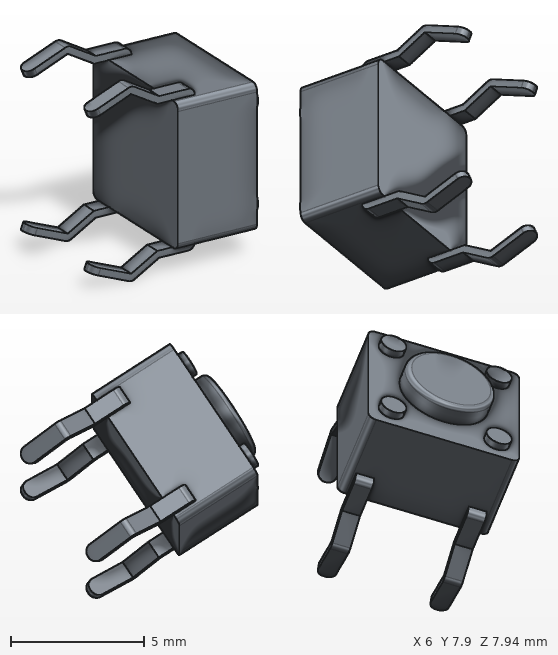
import cadquery as cq
import math

total_height = 7.94
body_width = 6.0
body_depth = 3.5
body_corner_radius = 0.3

button_diameter = 3.54
button_height = 0.8
button_edge_radius = 0.2
boss_diameter = 1.0
boss_height = 0.3
boss_offset = 2.1

lead_width = 0.715
lead_thickness = 0.3
lead_offset = 2.24
lead_overlap = 1.0
rise_angle = math.radians(30)
peak_reach = 1.82
tip_reach = 3.485
tip_corner_radius = 0.33

front_y = body_depth / 2
back_y = -body_depth / 2
lead_seat = body_width / 2
peak_rise = total_height / 2 - lead_seat - lead_thickness


def make_body():
    block = cq.Workplane("XY").box(body_width, body_depth, body_width)
    return block.edges("|Y").fillet(body_corner_radius)


def front_cylinder(diameter, height, x=0, z=0):
    """Cylinder standing on the +Y face of the body."""
    base = cq.Workplane(cq.Plane((x, front_y, z), (1, 0, 0), (0, 1, 0)))
    return base.circle(diameter / 2).extrude(height)


def make_button():
    button = front_cylinder(button_diameter, button_height)
    return button.faces(">Y").edges().fillet(button_edge_radius)


def make_lead(x):
    """Lead on the +Z face: flat, rising to a rounded peak, then falling back to seat level."""
    fall_angle = math.atan2(peak_rise, tip_reach - peak_reach)
    bend_y = back_y - peak_reach + peak_rise / math.tan(rise_angle)
    outer_bend_y = bend_y + lead_thickness * math.tan(rise_angle / 2)
    start_y = back_y + lead_overlap
    outer_z = lead_seat + lead_thickness
    peak_y = back_y - peak_reach
    peak_z = lead_seat + peak_rise
    tip_y = back_y - tip_reach
    round_shift = lead_thickness * (1 - math.sqrt(0.5))

    def offset_outward(y, z, angle):
        return (y + lead_thickness * math.sin(angle), z + lead_thickness * math.cos(angle))

    lead = (
        cq.Workplane("YZ", origin=(x - lead_width / 2, 0, 0))
        .moveTo(start_y, lead_seat)
        .threePointArc((start_y - round_shift, outer_z - round_shift), (start_y - lead_thickness, outer_z))
        .lineTo(outer_bend_y, outer_z)
        .lineTo(*offset_outward(peak_y, peak_z, rise_angle))
        .threePointArc(
            (peak_y, peak_z + lead_thickness),
            offset_outward(peak_y, peak_z, -fall_angle),
        )
        .lineTo(*offset_outward(tip_y, lead_seat, -fall_angle))
        .lineTo(tip_y, lead_seat)
        .lineTo(peak_y, peak_z)
        .lineTo(bend_y, lead_seat)
        .close()
        .extrude(lead_width)
    )
    return lead.faces("<Y").edges("not |X").fillet(tip_corner_radius)


result = make_body().union(make_button())

for x in (-boss_offset, boss_offset):
    for z in (-boss_offset, boss_offset):
        result = result.union(front_cylinder(boss_diameter, boss_height, x, z))

for x in (-lead_offset, lead_offset):
    upper_lead = make_lead(x)
    result = result.union(upper_lead).union(upper_lead.mirror("XY"))